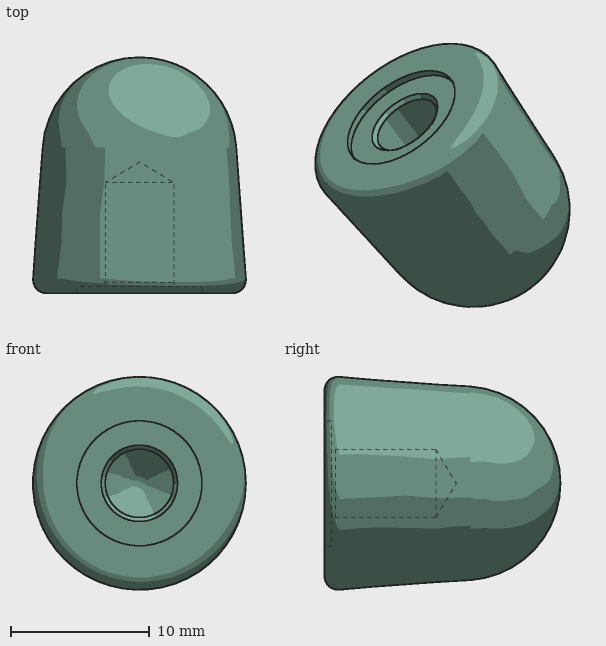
import cadquery as cq
import math

total_length = 17.0
max_diameter = 15.35
nose_radius = 7.0
rim_radius = 1.0

recess_diameter = 9.0
recess_depth = 0.5
hole_diameter = 4.92
hole_mouth_diameter = 5.5
mouth_chamfer_depth = 0.5 * (hole_mouth_diameter - hole_diameter)
hole_depth = 8.0
drill_tip_angle = 118.0


def turned(profile):
    """Revolve a closed (radius, Y) profile a full turn about the Y axis."""
    return profile.close().revolve(360, (0, 0, 0), (0, 1, 0))


def point_on_arc(center, radius, angle):
    """Point of a circle, with the angle measured from the radial direction towards +Y."""
    return (center[0] + radius * math.cos(angle), center[1] + radius * math.sin(angle))


def make_body():
    """Solid bumper with tangent rim, flank and nose."""
    rim_center = (0.5 * max_diameter - rim_radius, rim_radius)
    nose_center = (0.0, total_length - nose_radius)

    axial_gap = nose_center[1] - rim_center[1]
    center_distance = math.hypot(rim_center[0], axial_gap)
    center_line_angle = math.atan2(axial_gap, rim_center[0])
    taper = math.acos((nose_radius - rim_radius) / center_distance) - center_line_angle

    rim_start = (rim_center[0], 0.0)
    rim_middle = point_on_arc(rim_center, rim_radius, 0.5 * (taper - 0.5 * math.pi))
    rim_end = point_on_arc(rim_center, rim_radius, taper)
    nose_start = point_on_arc(nose_center, nose_radius, taper)
    nose_middle = point_on_arc(nose_center, nose_radius, 0.5 * (taper + 0.5 * math.pi))
    nose_tip = (0.0, total_length)

    return turned(
        cq.Workplane("XY")
        .lineTo(*rim_start)
        .threePointArc(rim_middle, rim_end)
        .lineTo(*nose_start)
        .threePointArc(nose_middle, nose_tip)
    )


def make_bore():
    """Recess, chamfered mouth, bore and conical drill tip as one turned cutter."""
    hole_radius = 0.5 * hole_diameter
    tip_height = hole_radius / math.tan(math.radians(0.5 * drill_tip_angle))

    return turned(
        cq.Workplane("XY")
        .lineTo(0.5 * recess_diameter, 0.0)
        .lineTo(0.5 * recess_diameter, recess_depth)
        .lineTo(0.5 * hole_mouth_diameter, recess_depth)
        .lineTo(hole_radius, recess_depth + mouth_chamfer_depth)
        .lineTo(hole_radius, hole_depth)
        .lineTo(0.0, hole_depth + tip_height)
    )


result = make_body().cut(make_bore())